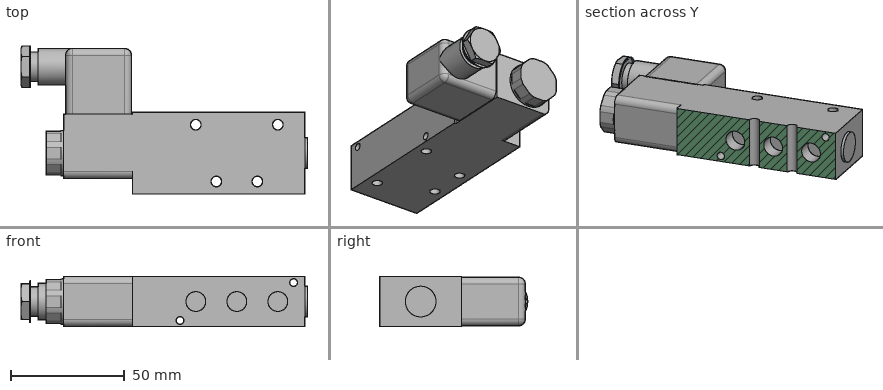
import cadquery as cq
import math


BLOCK_LENGTH = 75.7
BLOCK_WIDTH = 36.0
BLOCK_HEIGHT = 22.0

PORT_PITCH = 18.0
PATTERN_X = 45.9
PORT_DIAMETER = 8.7
PORT_DEPTH = 12.6
MOUNT_HOLE_DIAMETER = 4.5
MOUNT_HOLE_Y = 12.5
CROSS_HOLE_DIAMETER = 3.3
CROSS_HOLE_OFFSET_X = 25.0
CROSS_HOLE_OFFSET_Z = 8.3

BOSS_DIAMETER = 13.5
BOSS_HEIGHT = 1.3

COIL_LENGTH = 30.2
COIL_FRONT_Y = -11.2
COIL_BACK_Y = 17.1
COIL_EDGE_RADIUS = 3.2

KNOB_DIAMETER = 20.0
KNOB_LENGTH = 7.7
KNOB_COLLAR_LENGTH = 1.1
KNOB_FLAT_COUNT = 8
KNOB_FLAT_WIDTH = 5.0

PLUG_LENGTH = 29.0
PLUG_HEIGHT = 21.4
PLUG_BACK_Y = 46.0
PLUG_END_GAP = 0.4
PLUG_EDGE_RADIUS = 3.0

GLAND_DIAMETER = 16.1
GLAND_LENGTH = 12.1
GLAND_NECK_DIAMETER = 13.1
GLAND_NECK_LENGTH = 3.3
NUT_CORNER_DIAMETER = 18.3
NUT_LENGTH = 4.3
NUT_WASHER_THICKNESS = 0.4
NUT_CHAMFER = 0.5

BLOCK_FRONT_Y = -BLOCK_WIDTH / 2
COIL_END_X = -COIL_LENGTH
PLUG_END_X = -PLUG_END_GAP - PLUG_LENGTH
GLAND_Y = PLUG_BACK_Y - GLAND_DIAMETER / 2
NECK_START_X = PLUG_END_X - GLAND_LENGTH
NUT_START_X = NECK_START_X - GLAND_NECK_LENGTH
NUT_FLAT_DIAMETER = NUT_CORNER_DIAMETER * math.cos(math.pi / 6)


def box_between(x_range, y_range, height):
    """Box over the given X and Y ranges, centred on Z = 0."""
    length = x_range[1] - x_range[0]
    width = y_range[1] - y_range[0]
    box = cq.Workplane("XY").box(length, width, height, centered=(False, False, True))
    return box.translate((x_range[0], y_range[0], 0))


def rod_toward_minus_x(start_x, axis_y, diameter, length):
    """Round rod that starts at start_x and runs in the -X direction."""
    plane = cq.Workplane("YZ", origin=(start_x, axis_y, 0))
    return plane.circle(diameter / 2).extrude(-length)


def make_block():
    block = box_between((0, BLOCK_LENGTH), (-BLOCK_WIDTH / 2, BLOCK_WIDTH / 2), BLOCK_HEIGHT)
    boss = cq.Workplane("YZ", origin=(BLOCK_LENGTH, 0, 0)).circle(BOSS_DIAMETER / 2).extrude(BOSS_HEIGHT)
    return block.union(boss)


def make_coil():
    coil = box_between((COIL_END_X, 0), (COIL_FRONT_Y, COIL_BACK_Y), BLOCK_HEIGHT)
    return coil.edges("|X and <Y").fillet(COIL_EDGE_RADIUS)


def make_knob():
    """Round knob with flats around it, which stop short of a plain collar at the coil."""
    radius = KNOB_DIAMETER / 2
    flat_distance = math.sqrt(radius**2 - (KNOB_FLAT_WIDTH / 2) ** 2)
    flat_length = KNOB_LENGTH - KNOB_COLLAR_LENGTH
    knob = rod_toward_minus_x(COIL_END_X, 0, KNOB_DIAMETER, KNOB_LENGTH)
    cutter = (
        cq.Workplane("XY")
        .box(flat_length, KNOB_DIAMETER, radius, centered=(False, True, False))
        .translate((COIL_END_X - KNOB_LENGTH, 0, flat_distance))
    )
    for index in range(KNOB_FLAT_COUNT):
        angle = index * 360 / KNOB_FLAT_COUNT
        knob = knob.cut(cutter.rotate((0, 0, 0), (1, 0, 0), angle))
    return knob


def make_ports():
    """Three blind ports in the front face."""
    points = [(PATTERN_X + step * PORT_PITCH, 0) for step in (-1, 0, 1)]
    face = cq.Workplane("XZ", origin=(0, BLOCK_FRONT_Y, 0))
    return face.pushPoints(points).circle(PORT_DIAMETER / 2).extrude(-PORT_DEPTH)


def make_mount_holes():
    """Four vertical through holes: a wide pair at the back, a narrow pair at the front."""
    points = []
    for side in (-1, 1):
        points.append((PATTERN_X + side * PORT_PITCH, MOUNT_HOLE_Y))
        points.append((PATTERN_X + side * PORT_PITCH / 2, -MOUNT_HOLE_Y))
    floor = cq.Workplane("XY", origin=(0, 0, -BLOCK_HEIGHT / 2))
    return floor.pushPoints(points).circle(MOUNT_HOLE_DIAMETER / 2).extrude(BLOCK_HEIGHT)


def make_cross_holes():
    """Two through holes along Y at diagonally opposite corners of the front face."""
    points = [
        (PATTERN_X + side * CROSS_HOLE_OFFSET_X, side * CROSS_HOLE_OFFSET_Z) for side in (-1, 1)
    ]
    face = cq.Workplane("XZ", origin=(0, BLOCK_FRONT_Y, 0))
    return face.pushPoints(points).circle(CROSS_HOLE_DIAMETER / 2).extrude(-BLOCK_WIDTH)


def make_valve():
    valve = make_block().union(make_coil()).union(make_knob())
    for holes in (make_ports(), make_mount_holes(), make_cross_holes()):
        valve = valve.cut(holes)
    return valve


def make_gland_nut():
    """Hexagonal nut with corners toward +Y and -Y, a chamfered outer end and a round washer."""
    hexagon = (
        cq.Workplane("YZ", origin=(NUT_START_X, GLAND_Y, 0))
        .polygon(6, NUT_CORNER_DIAMETER)
        .extrude(-NUT_LENGTH)
    )
    chamfer_run = (NUT_CORNER_DIAMETER - NUT_FLAT_DIAMETER) / 2
    envelope = rod_toward_minus_x(NUT_START_X, GLAND_Y, NUT_CORNER_DIAMETER, NUT_LENGTH)
    envelope = envelope.faces("<X").edges().chamfer(NUT_CHAMFER, chamfer_run)
    washer = rod_toward_minus_x(NUT_START_X, GLAND_Y, NUT_CORNER_DIAMETER, NUT_WASHER_THICKNESS)
    return hexagon.intersect(envelope).union(washer)


def make_plug():
    plug = box_between((PLUG_END_X, -PLUG_END_GAP), (COIL_BACK_Y, PLUG_BACK_Y), PLUG_HEIGHT)
    plug = plug.edges("|Y or >Y").fillet(PLUG_EDGE_RADIUS)
    barrel_length = GLAND_LENGTH + PLUG_LENGTH / 2
    barrel = rod_toward_minus_x(PLUG_END_X + PLUG_LENGTH / 2, GLAND_Y, GLAND_DIAMETER, barrel_length)
    neck = rod_toward_minus_x(NECK_START_X, GLAND_Y, GLAND_NECK_DIAMETER, GLAND_NECK_LENGTH)
    return plug.union(barrel).union(neck).union(make_gland_nut())


valve = make_valve()
plug = make_plug()
result = cq.Compound.makeCompound([valve.val(), plug.val()])